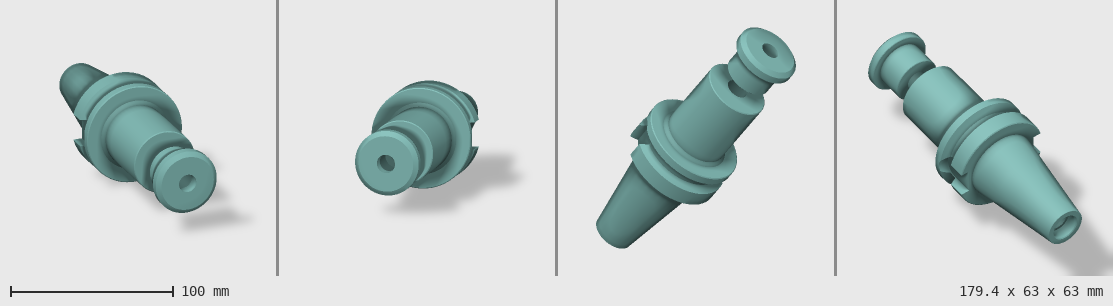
import cadquery as cq

EDGE_CHAMFER = 0.5

TAPER_LENGTH = 65.5
TAPER_END_CHAMFER = 0.2
TAPER_LARGE_DIA = 44.5
TAPER_RATIO = 7 / 24
TAPER_SMALL_DIA = TAPER_LARGE_DIA - TAPER_LENGTH * TAPER_RATIO

FLANGE_DIA = 63.0
FLANGE_START = 66.5
FLANGE_END = 92.5
GROOVE_DIA = 52.7
GROOVE_START = 77.5
GROOVE_FLOOR_START = 80.2
GROOVE_FLOOR_END = 84.5
GROOVE_END = 87.2

SLOT_WIDTH = 17.0
SLOT_END = 88.5
SLOT_FLOOR_OFFSET = 24.5

SHANK_DIA = 40.4
SHANK_END = 141.7
SHANK_SHOULDER_CHAMFER = 2.2

ENTRY_BORE_DIA = 17.0
ENTRY_BORE_DEPTH = 8.0
THROUGH_BORE_DIA = 13.6

BUSH_START = 154.0
BUSH_END = 179.4
BUSH_DIA = 30.0
UNDERCUT_DIA = 29.5
UNDERCUT_WIDTH = 0.5
BUSH_EDGE_CHAMFER = 0.4
HEAD_START = 171.8
HEAD_DIA = SHANK_DIA
HEAD_CHAMFER_LENGTH = 2.3
HEAD_CHAMFER_HEIGHT = 2.9
BUSH_BORE_DIA = 13.5
BUSH_HOLE_DIA = 11.5


def revolve_about_x(profile):
    """Turn a list of (x, radius) points into a solid of revolution."""
    return cq.Workplane("XY").polyline(profile).close().revolve(360, (0, 0, 0), (1, 0, 0))


def bore(start, end, diameter):
    """Cylinder along the X axis, used as a cutter."""
    return cq.Workplane("YZ", origin=(start, 0, 0)).circle(diameter / 2).extrude(end - start)


def holder_blank():
    small_radius = TAPER_SMALL_DIA / 2
    taper_radius = TAPER_LARGE_DIA / 2
    flange_radius = FLANGE_DIA / 2
    groove_radius = GROOVE_DIA / 2
    shank_radius = SHANK_DIA / 2
    return revolve_about_x([
        (0, 0),
        (0, small_radius - TAPER_END_CHAMFER),
        (TAPER_END_CHAMFER, small_radius),
        (TAPER_LENGTH, taper_radius),
        (FLANGE_START, taper_radius),
        (FLANGE_START, flange_radius - EDGE_CHAMFER),
        (FLANGE_START + EDGE_CHAMFER, flange_radius),
        (GROOVE_START, flange_radius),
        (GROOVE_FLOOR_START, groove_radius),
        (GROOVE_FLOOR_END, groove_radius),
        (GROOVE_END, flange_radius),
        (FLANGE_END - EDGE_CHAMFER, flange_radius),
        (FLANGE_END, flange_radius - EDGE_CHAMFER),
        (FLANGE_END, shank_radius + SHANK_SHOULDER_CHAMFER),
        (FLANGE_END + SHANK_SHOULDER_CHAMFER, shank_radius),
        (SHANK_END - EDGE_CHAMFER, shank_radius),
        (SHANK_END, shank_radius - EDGE_CHAMFER),
        (SHANK_END, 0),
    ])


def drive_slot(side):
    """Round-ended slot cutter; side is -1 for -Y and +1 for +Y."""
    half_width = SLOT_WIDTH / 2
    arc_start = SLOT_END - half_width
    outline = (
        cq.Workplane("XZ", origin=(0, side * SLOT_FLOOR_OFFSET, 0))
        .moveTo(FLANGE_START, -half_width)
        .lineTo(arc_start, -half_width)
        .threePointArc((SLOT_END, 0), (arc_start, half_width))
        .lineTo(FLANGE_START, half_width)
        .close()
    )
    return outline.extrude(-side * FLANGE_DIA / 2)


def make_holder():
    holder = holder_blank()
    for side in (-1, 1):
        holder = holder.cut(drive_slot(side))
    holder = holder.cut(bore(0, ENTRY_BORE_DEPTH, ENTRY_BORE_DIA))
    holder = holder.cut(bore(0, SHANK_END, THROUGH_BORE_DIA))
    bore_mouth = holder.faces("<X").edges(cq.selectors.RadiusNthSelector(0))
    return bore_mouth.chamfer(EDGE_CHAMFER)


def make_bush():
    body_radius = BUSH_DIA / 2
    undercut_radius = UNDERCUT_DIA / 2
    head_radius = HEAD_DIA / 2
    undercut_start = HEAD_START - UNDERCUT_WIDTH
    bush = revolve_about_x([
        (BUSH_START, 0),
        (BUSH_START, body_radius - BUSH_EDGE_CHAMFER),
        (BUSH_START + BUSH_EDGE_CHAMFER, body_radius),
        (undercut_start, body_radius),
        (undercut_start, undercut_radius),
        (HEAD_START, undercut_radius),
        (HEAD_START, head_radius - BUSH_EDGE_CHAMFER),
        (HEAD_START + BUSH_EDGE_CHAMFER, head_radius),
        (BUSH_END - HEAD_CHAMFER_LENGTH, head_radius),
        (BUSH_END, head_radius - HEAD_CHAMFER_HEIGHT),
        (BUSH_END, 0),
    ])
    bush = bush.cut(bore(BUSH_START, HEAD_START, BUSH_BORE_DIA))
    return bush.cut(bore(BUSH_START, BUSH_END, BUSH_HOLE_DIA))


holder = make_holder()
bush = make_bush()
result = cq.Compound.makeCompound([holder.val(), bush.val()])